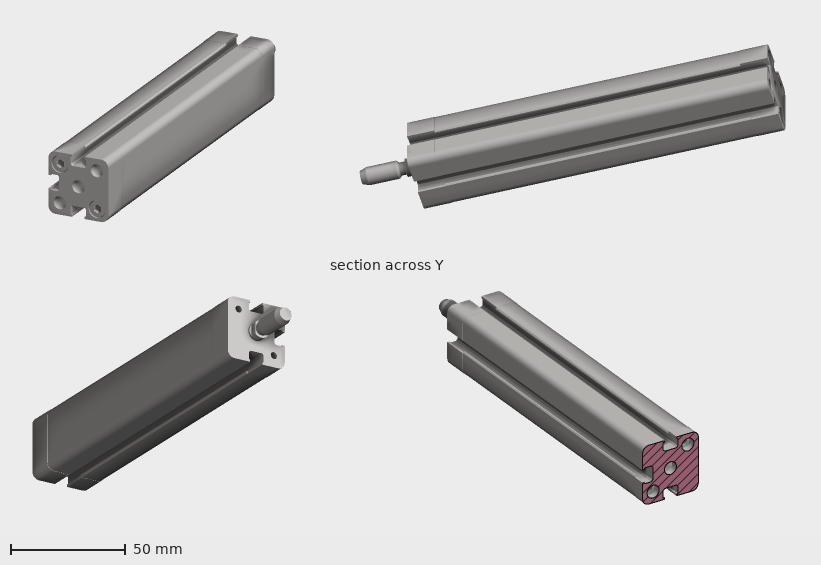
import cadquery as cq

total_length = 187.5
cap_width = 29.0
tube_width = 28.9
corner_radius = 3.4
body_length = 163.0
cap_length = 12.4

slot_width = 7.5
slot_depth = 5.2
lip_thickness = 1.1
slot_corner_chamfer = 0.8
cap_opening = 6.2
tube_opening = 5.0
tube_lip_chamfer = 0.5
slot_angles = (0, 90, 180)

hole_offset = 9.0
through_diameter = 3.2
counterbore_diameter = 6.0
counterbore_depth = 9.4
centre_hole_depth = 9.4
screw_recess_diameter = 8.0
screw_recess_depth = 4.7
screw_head_diameter = 7.5
screw_head_sink = 0.5
socket_diameter = 4.1
socket_depth = 2.2

rod_diameter = 8.0
neck_diameter = 5.8
flat_width = 6.0
shoulder_length = 4.3
flat_length = 3.4
neck_length = 2.6
relief_length = 1.1
tip_length = 3.0
tip_diameter = 6.0

rear_y = -total_length / 2
front_y = rear_y + body_length
tip_y = total_length / 2


def plane_at(y):
    """Sketch plane across the axis, facing +Y, with local x along -X and local y along Z."""
    return cq.Workplane(cq.Plane(origin=(0, y, 0), xDir=(-1, 0, 0), normal=(0, 1, 0)))


def cylinder(x, z, y, diameter, length):
    """Cylinder along +Y that starts at y."""
    return plane_at(y).center(-x, z).circle(diameter / 2).extrude(length)


def slot_cutter(y, length, width, opening):
    """Slot in the top side of a section: a channel below a narrower opening between two lips."""
    top = width / 2
    floor = top - slot_depth
    lip_bottom = top - lip_thickness
    half_slot = slot_width / 2
    half_opening = opening / 2
    return (
        plane_at(y)
        .moveTo(-half_slot + slot_corner_chamfer, floor)
        .lineTo(half_slot - slot_corner_chamfer, floor)
        .lineTo(half_slot, floor + slot_corner_chamfer)
        .lineTo(half_slot, lip_bottom)
        .lineTo(half_opening, lip_bottom)
        .lineTo(half_opening, top)
        .lineTo(-half_opening, top)
        .lineTo(-half_opening, lip_bottom)
        .lineTo(-half_slot, lip_bottom)
        .lineTo(-half_slot, floor + slot_corner_chamfer)
        .close()
        .extrude(length)
    )


def lip_chamfer_cutter(y, length):
    """Flared mouth that chamfers the outer edges of the tube's top slot."""
    top = tube_width / 2
    half_opening = tube_opening / 2
    return (
        plane_at(y)
        .moveTo(-half_opening, top - tube_lip_chamfer)
        .lineTo(half_opening, top - tube_lip_chamfer)
        .lineTo(half_opening + tube_lip_chamfer, top)
        .lineTo(-half_opening - tube_lip_chamfer, top)
        .close()
        .extrude(length)
    )


def slotted_section(y, length, width, cutter):
    """Length of square section with rounded corners and the slot cut in three sides."""
    section = plane_at(y).rect(width, width).extrude(length).edges("|Y").fillet(corner_radius)
    for angle in slot_angles:
        section = section.cut(cutter.rotate((0, 0, 0), (0, -1, 0), angle))
    return section


def tube():
    """Middle length, between the caps."""
    y = rear_y + cap_length
    length = body_length - 2 * cap_length
    cutter = slot_cutter(y, length, tube_width, tube_opening).union(lip_chamfer_cutter(y, length))
    return slotted_section(y, length, tube_width, cutter)


def cap(y):
    """End cap that starts at y."""
    cutter = slot_cutter(y, cap_length, cap_width, cap_opening)
    return slotted_section(y, cap_length, cap_width, cutter)


def rod():
    """Piston rod turned about Y, from the front cap to the tip, with two wrench flats."""
    shoulder_y = front_y + shoulder_length
    neck_end_y = shoulder_y + neck_length
    rod_radius = rod_diameter / 2
    turned = (
        cq.Workplane("XY")
        .moveTo(0, front_y)
        .lineTo(rod_radius, front_y)
        .lineTo(rod_radius, shoulder_y)
        .lineTo(neck_diameter / 2, shoulder_y)
        .lineTo(neck_diameter / 2, neck_end_y)
        .lineTo(rod_radius, neck_end_y + relief_length)
        .lineTo(rod_radius, tip_y - tip_length)
        .lineTo(tip_diameter / 2, tip_y)
        .lineTo(0, tip_y)
        .close()
        .revolve(360, (0, 0, 0), (0, 1, 0))
    )
    flat_y = shoulder_y - flat_length
    for side in (-1, 1):
        flat_centre = side * (flat_width + rod_diameter) / 2
        block = plane_at(flat_y).center(flat_centre, 0).rect(rod_diameter, rod_diameter).extrude(flat_length)
        turned = turned.cut(block)
    return turned


def screw_recess(x, z):
    """Counterbore with a sunk screw head left standing in it."""
    head_y = rear_y + screw_head_sink
    recess = cylinder(x, z, rear_y, screw_recess_diameter, screw_recess_depth)
    head = cylinder(x, z, head_y, screw_head_diameter, screw_recess_depth - screw_head_sink)
    hexagon = plane_at(head_y).center(-x, z).transformed(rotate=(0, 0, 30)).polygon(6, socket_diameter)
    socket = hexagon.extrude(socket_depth)
    return recess.cut(head.cut(socket))


result = tube()
for cap_y in (rear_y, front_y - cap_length):
    result = result.union(cap(cap_y))
result = result.union(rod())

result = result.cut(cylinder(0, 0, rear_y, counterbore_diameter, centre_hole_depth))
for side in (-1, 1):
    offset = side * hole_offset
    result = result.cut(cylinder(offset, offset, rear_y, through_diameter, body_length))
    result = result.cut(cylinder(offset, offset, rear_y, counterbore_diameter, counterbore_depth))
    result = result.cut(screw_recess(offset, -offset))